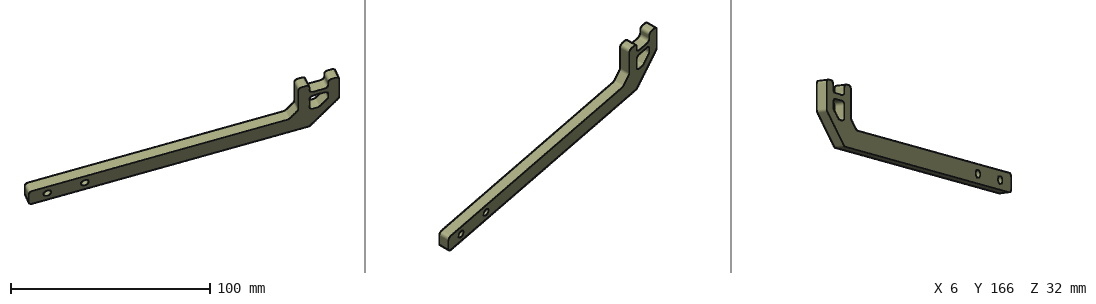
import cadquery as cq

thickness = 6.0
length = 166.0
height = 32.0

arm_height = 10.0
hole_diameter = 4.0
hole_end_distance = 10.0
hole_spacing = 20.0
hole_count = 2

prong_width = 6.0
slot_width = 10.0
slot_depth = 6.0
bridge_thickness = 3.0
window_height = 10.0
heel_chamfer = 16.0
throat_chamfer = 5.0
window_chamfer = 5.0

corner_radius = 2.0

back = length
slot_back = back - prong_width
slot_front = slot_back - slot_width
head_front = slot_front - prong_width
slot_floor = height - slot_depth
window_top = slot_floor - bridge_thickness
window_bottom = window_top - window_height


def rounded_plate(points):
    """Extrude a closed YZ outline through the thickness and round its corners."""
    plate = cq.Workplane("YZ").polyline(points).close().extrude(thickness / 2, both=True)
    return plate.edges("|X").fillet(corner_radius)


def make_body():
    """Arm and forked head, with a sloped heel below and a sloped throat above."""
    return rounded_plate([
        (0, 0),
        (back - heel_chamfer, 0),
        (back, heel_chamfer),
        (back, height),
        (slot_back, height),
        (slot_back, slot_floor),
        (slot_front, slot_floor),
        (slot_front, height),
        (head_front, height),
        (head_front, arm_height + throat_chamfer),
        (head_front - throat_chamfer, arm_height),
        (0, arm_height),
    ])


def make_window():
    """Opening below the slot, with one corner cut parallel to the heel."""
    return rounded_plate([
        (slot_front, window_bottom),
        (slot_back - window_chamfer, window_bottom),
        (slot_back, window_bottom + window_chamfer),
        (slot_back, window_top),
        (slot_front, window_top),
    ])


def make_mounting_holes():
    """Row of through holes on the arm's centre line."""
    centers = [
        (hole_end_distance + index * hole_spacing, arm_height / 2)
        for index in range(hole_count)
    ]
    pins = cq.Workplane("YZ").pushPoints(centers).circle(hole_diameter / 2)
    return pins.extrude(thickness, both=True)


result = make_body().cut(make_window()).cut(make_mounting_holes())